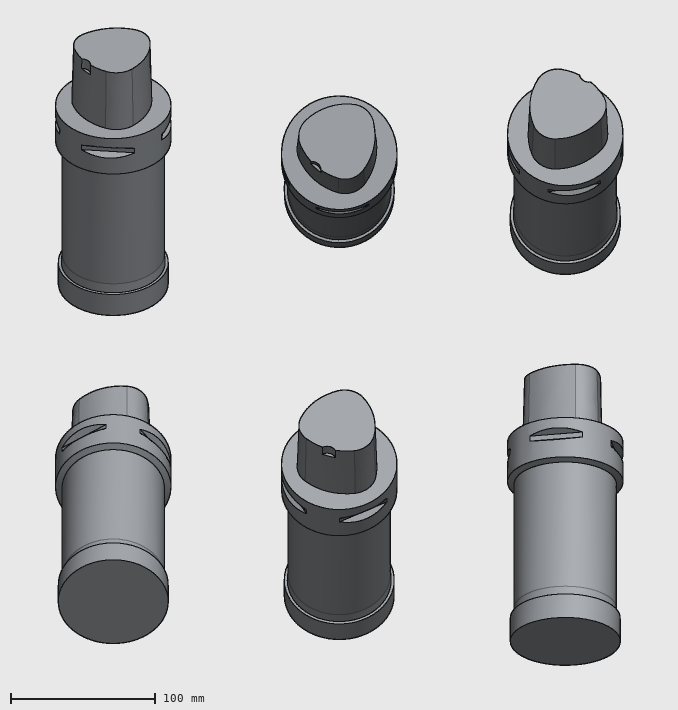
import cadquery as cq
import math

collar_top = 18.0
shank_cone_top = 25.3
flange_cone_bottom = 120.6
flange_bottom = 122.5
flange_top = 152.7
total_height = 200.5

collar_diameter = 76.2
shank_diameter = 71.0
shank_foot_diameter = 72.0
flange_diameter = 80.0

lobe_tip_distance = 29.5
side_middle_distance = 25.7
lobe_radius = 17.0
taper_ratio = 20.0
lobe_count = 3

keyway_radius = 6.5
keyway_axis_distance = 28.7
keyway_depth = 8.0

groove_count = 4
groove_first_angle = 45.0
groove_height = 140.5
groove_floor_distance = 35.5
groove_floor_width = 3.8
groove_wall_angle = 30.0


def polar_point(distance, angle):
    """Point at a distance from the axis, at an angle in degrees from +X."""
    return (distance * math.cos(math.radians(angle)), distance * math.sin(math.radians(angle)))


def lobed_outline():
    """Closed outline of tangent lobe and side arcs, with one lobe pointing to +Y."""
    lobe_centre = lobe_tip_distance - lobe_radius
    radius_gap = side_middle_distance - lobe_radius
    side_centre = (lobe_centre**2 - radius_gap**2) / (2 * radius_gap - lobe_centre)

    pitch_angle = 360.0 / lobe_count
    side_x, side_y = polar_point(side_centre, pitch_angle)
    joint_direction = math.atan2(-side_y, lobe_centre - side_x)
    joint_x = lobe_centre + lobe_radius * math.cos(joint_direction)
    joint_y = lobe_radius * math.sin(joint_direction)
    joint_distance = math.hypot(joint_x, joint_y)
    joint_angle = abs(math.degrees(math.atan2(joint_y, joint_x)))

    lobe_angle = 90.0
    outline = cq.Workplane("XY", origin=(0, 0, flange_top))
    outline = outline.moveTo(*polar_point(joint_distance, lobe_angle - joint_angle))
    for index in range(lobe_count):
        angle = lobe_angle + index * pitch_angle
        outline = outline.threePointArc(
            polar_point(lobe_tip_distance, angle),
            polar_point(joint_distance, angle + joint_angle),
        )
        outline = outline.threePointArc(
            polar_point(side_middle_distance, angle + pitch_angle / 2),
            polar_point(joint_distance, angle + pitch_angle - joint_angle),
        )
    return outline.close()


def make_lobed_shank():
    """Tapered three-lobed shank with its keyway."""
    shank_length = total_height - flange_top
    taper_angle = math.degrees(math.atan(1 / (2 * taper_ratio)))
    lobed_shank = lobed_outline().extrude(shank_length, taper=taper_angle)
    keyway = (
        cq.Workplane("XY", origin=(0, -keyway_axis_distance, total_height - keyway_depth))
        .circle(keyway_radius)
        .extrude(keyway_depth)
    )
    return lobed_shank.cut(keyway)


def make_groove(angle):
    """Straight groove cutter with sloping walls, across the flange at the given angle."""
    outer_distance = flange_diameter / 2 + 2.0
    floor_half = groove_floor_width / 2
    slope = math.tan(math.radians(groove_wall_angle))
    mouth_half = floor_half + (outer_distance - groove_floor_distance) * slope
    return (
        cq.Workplane("XZ", origin=(0, 0, groove_height))
        .moveTo(groove_floor_distance, -floor_half)
        .lineTo(outer_distance, -mouth_half)
        .lineTo(outer_distance, mouth_half)
        .lineTo(groove_floor_distance, floor_half)
        .close()
        .extrude(flange_diameter / 2, both=True)
        .rotate((0, 0, 0), (0, 0, 1), angle)
    )


def make_holder():
    """Round shank with coned foot, grooved flange and lobed shank, as one solid."""
    holder = (
        cq.Workplane("XZ")
        .moveTo(0, collar_top)
        .lineTo(shank_foot_diameter / 2, collar_top)
        .lineTo(shank_diameter / 2, shank_cone_top)
        .lineTo(shank_diameter / 2, flange_cone_bottom)
        .lineTo(flange_diameter / 2, flange_bottom)
        .lineTo(flange_diameter / 2, flange_top)
        .lineTo(0, flange_top)
        .close()
        .revolve(360, (0, 0, 0), (0, 1, 0))
    )
    for index in range(groove_count):
        holder = holder.cut(make_groove(groove_first_angle + index * 360.0 / groove_count))
    return holder.union(make_lobed_shank())


def make_collar():
    """Plain round collar under the holder."""
    return cq.Workplane("XY").circle(collar_diameter / 2).extrude(collar_top)


holder = make_holder()
collar = make_collar()

result = cq.Compound.makeCompound([holder.solids().val(), collar.val()])